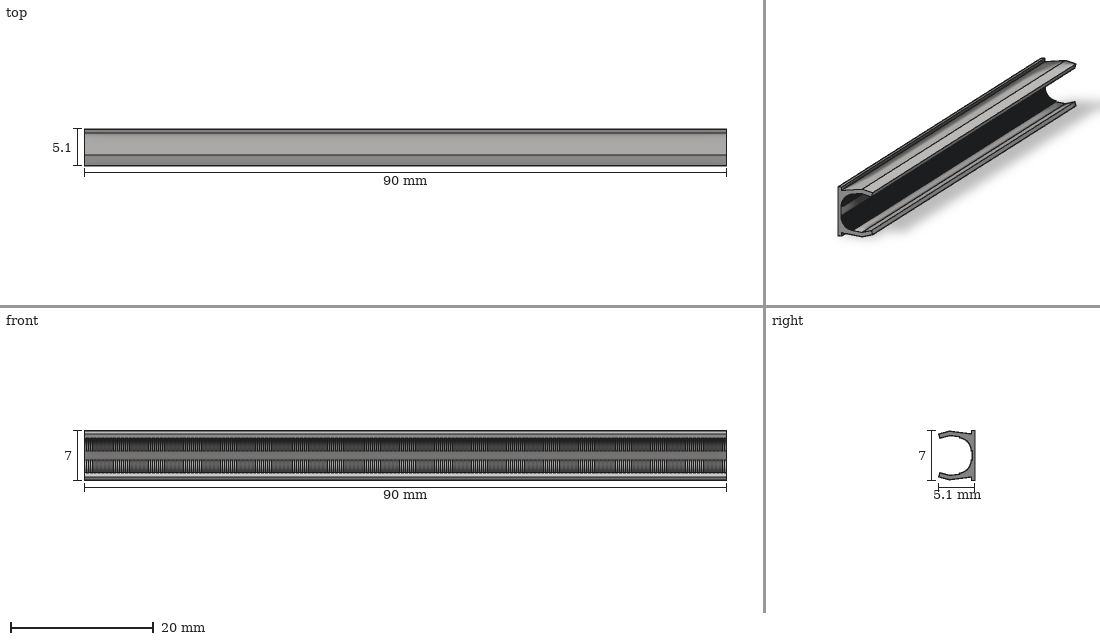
import cadquery as cq
import math

length = 90.0
depth = 5.1
height = 7.0
plate_thickness = 0.5
web_thickness = 0.45
arm_thickness = 0.6
shoulder_drop = 0.39
apex_half_height = 3.4
tip_drop = 0.405
apex_setback = 3.6
corner_radius = 2.0
rib_height = 0.135
rib_count = 165
end_margin = 0.04

half_height = height / 2
back_y = depth / 2
front_y = -depth / 2
plate_front_y = back_y - plate_thickness
web_y = back_y - web_thickness
apex_y = back_y - apex_setback
shoulder_half_height = apex_half_height - shoulder_drop
tip_half_height = apex_half_height - tip_drop

rear_angle = math.atan2(shoulder_drop, plate_front_y - apex_y)
front_angle = math.atan2(tip_drop, apex_y - front_y)
lip_y = front_y + arm_thickness * math.sin(front_angle)
lip_z = tip_half_height - arm_thickness * math.cos(front_angle)

miter_angle = (rear_angle - front_angle) / 2
miter_length = arm_thickness / math.cos((rear_angle + front_angle) / 2)
bend_y = apex_y - miter_length * math.sin(miter_angle)
bend_z = apex_half_height - miter_length * math.cos(miter_angle)

corner_z = bend_z - (web_y - bend_y) * math.tan(rear_angle)
corner_sweep = math.pi / 2 - rear_angle
center_y = web_y - corner_radius
center_z = corner_z - corner_radius * math.tan(corner_sweep / 2)


def corner_arc(radius):
    """Start, middle and end of an arc about the corner centre, from the web round to the arm."""
    angles = (0, corner_sweep / 2, corner_sweep)
    return [(center_y + radius * math.cos(a), center_z + radius * math.sin(a)) for a in angles]


def make_half():
    """Upper half of the clip with a smooth corner, from the middle of the web upwards."""
    web_end, arc_middle, arm_start = corner_arc(corner_radius)
    return (
        cq.Workplane("YZ", origin=(-length / 2, 0, 0))
        .moveTo(web_y, 0)
        .lineTo(back_y, 0)
        .lineTo(back_y, half_height)
        .lineTo(plate_front_y, half_height)
        .lineTo(plate_front_y, shoulder_half_height)
        .lineTo(apex_y, apex_half_height)
        .lineTo(front_y, tip_half_height)
        .lineTo(lip_y, lip_z)
        .lineTo(bend_y, bend_z)
        .lineTo(*arm_start)
        .threePointArc(arc_middle, web_end)
        .close()
        .extrude(length)
        .val()
    )


def make_ribs():
    """Row of fine ribs in the upper corner, as wide as the grooves between them."""
    pitch = (length - end_margin) / rib_count
    rib_width = pitch / 2
    groove_start, groove_middle, groove_end = corner_arc(corner_radius)
    crest_start, crest_middle, crest_end = corner_arc(corner_radius - rib_height)
    rib = (
        cq.Workplane("YZ")
        .moveTo(*crest_start)
        .lineTo(*groove_start)
        .threePointArc(groove_middle, groove_end)
        .lineTo(*crest_end)
        .threePointArc(crest_middle, crest_start)
        .close()
        .extrude(rib_width)
        .val()
    )
    last_x = length / 2 - rib_width
    return [rib.translate(cq.Vector(last_x - index * pitch, 0, 0)) for index in range(rib_count)]


upper_half = make_half().fuse(*make_ribs())
lower_half = upper_half.mirror("XY")
result = cq.Workplane(upper_half.fuse(lower_half).clean())